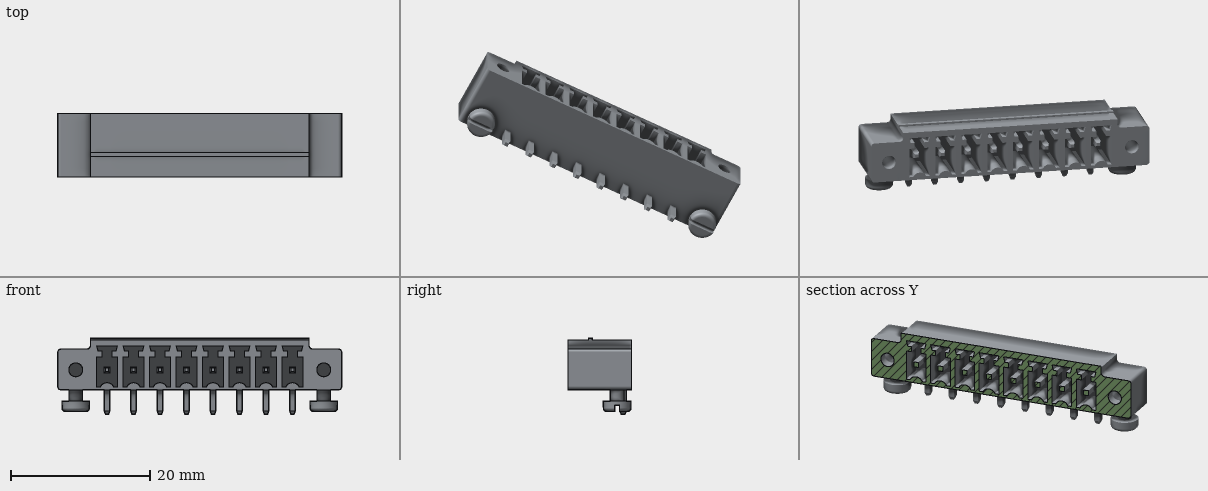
import cadquery as cq


housing_length = 40.87
housing_depth = 9.2
block_height = 7.2
flange_height = 5.9
flange_width = 4.7
edge_radius = 0.5
block_length = housing_length - 2 * flange_width

rib_height = 0.25
rib_start = 2.95
rib_width = 0.6

contact_count = 8
contact_pitch = 3.81
contact_xs = [(i - (contact_count - 1) / 2) * contact_pitch for i in range(contact_count)]

cavity_width = 3.0
cavity_depth = 7.0
cavity_floor = 0.45
cavity_shoulder = 4.75
neck_width = 1.45
neck_top = 5.6
key_base_width = 2.6
cavity_top = 6.35
hump_width = 1.9
hump_height = 0.6

pin_width = 0.85
pin_axis_z = 2.9
pin_tip_y = 2.0
leg_thickness = 1.0
leg_y = 7.95
leg_length = 3.5
pin_taper_length = 0.5
pin_tip_ratio = 0.55

screw_offset = 4.5
screw_x = contact_xs[-1] + screw_offset
hole_diameter = 2.0
hole_depth = 5.0
screw_y = 7.1
shank_diameter = 2.0
shank_length = 1.6
head_diameter = 4.0
head_height = 1.5
head_radius = 0.5
slot_width = 0.65
slot_depth = 0.9


def make_housing():
    """Stepped block with rounded flange edges and a thin rib along its top."""
    flanges = cq.Workplane("XY").box(
        housing_length, housing_depth, flange_height, centered=(True, False, False)
    )
    block = cq.Workplane("XY").box(
        block_length, housing_depth, block_height, centered=(True, False, False)
    )
    at_step = cq.selectors.BoxSelector(
        (-block_length / 2 - edge_radius / 2, 0, flange_height - edge_radius / 2),
        (block_length / 2 + edge_radius / 2, housing_depth, flange_height + edge_radius / 2),
    )
    housing = flanges.union(block)
    housing = housing.edges("|Y").edges(at_step).fillet(edge_radius)
    housing = housing.edges("|Y and (<X or >X)").fillet(edge_radius)
    rib = (
        cq.Workplane("XY")
        .box(block_length, rib_width, block_height + rib_height, centered=(True, False, False))
        .translate((0, rib_start, 0))
    )
    return housing.union(rib)


def make_cavity(x):
    """Keyed plug cavity, open at the mating face, with a rounded hump on its floor."""
    side = cavity_width / 2
    neck = neck_width / 2
    key_base = key_base_width / 2
    hump = hump_width / 2
    return (
        cq.Workplane("XZ")
        .moveTo(-side, cavity_floor)
        .lineTo(-hump, cavity_floor)
        .threePointArc((0, cavity_floor + hump_height), (hump, cavity_floor))
        .lineTo(side, cavity_floor)
        .lineTo(side, cavity_shoulder)
        .lineTo(neck, cavity_shoulder)
        .lineTo(neck, neck_top)
        .lineTo(key_base, neck_top)
        .lineTo(side, cavity_top)
        .lineTo(-side, cavity_top)
        .lineTo(-key_base, neck_top)
        .lineTo(-neck, neck_top)
        .lineTo(-neck, cavity_shoulder)
        .lineTo(-side, cavity_shoulder)
        .close()
        .extrude(-cavity_depth)
        .translate((x, 0, 0))
    )


def make_bar(start_plane, width, thickness, length):
    """Rectangular bar growing along the plane normal and ending in a tapered tip."""
    straight_length = length - pin_taper_length
    shaft = cq.Workplane(start_plane).rect(width, thickness).extrude(straight_length)
    tip = (
        cq.Workplane(start_plane)
        .workplane(offset=straight_length)
        .rect(width, thickness)
        .workplane(offset=pin_taper_length)
        .rect(width * pin_tip_ratio, thickness * pin_tip_ratio)
        .loft()
    )
    return shaft.union(tip)


def make_pin(x):
    """Right-angle pin: one arm towards the mating face, one leg down through the board."""
    bend = (x, leg_y, pin_axis_z)
    arm_plane = cq.Plane(origin=bend, xDir=(1, 0, 0), normal=(0, -1, 0))
    leg_plane = cq.Plane(origin=bend, xDir=(1, 0, 0), normal=(0, 0, -1))
    arm = make_bar(arm_plane, pin_width, pin_width, leg_y - pin_tip_y)
    leg = make_bar(leg_plane, pin_width, leg_thickness, pin_axis_z + leg_length)
    return arm.union(leg)


def make_flange_hole(x):
    """Blind round hole in the mating face of a flange, level with the pin arms."""
    return (
        cq.Workplane("XZ")
        .center(x, pin_axis_z)
        .circle(hole_diameter / 2)
        .extrude(-hole_depth)
    )


def make_screw(x):
    """Slotted screw under a flange, head downwards."""
    shank = cq.Workplane("XY").circle(shank_diameter / 2).extrude(-shank_length)
    head = (
        cq.Workplane("XY")
        .workplane(offset=-shank_length)
        .circle(head_diameter / 2)
        .extrude(-head_height)
        .faces("<Z")
        .edges()
        .fillet(head_radius)
    )
    slot = (
        cq.Workplane("XY")
        .box(head_diameter, slot_width, slot_depth, centered=(True, True, False))
        .translate((0, 0, -shank_length - head_height))
    )
    return shank.union(head.cut(slot)).translate((x, screw_y, 0))


result = make_housing()
for contact_x in contact_xs:
    result = result.cut(make_cavity(contact_x)).union(make_pin(contact_x))
for flange_x in (-screw_x, screw_x):
    result = result.cut(make_flange_hole(flange_x)).union(make_screw(flange_x))